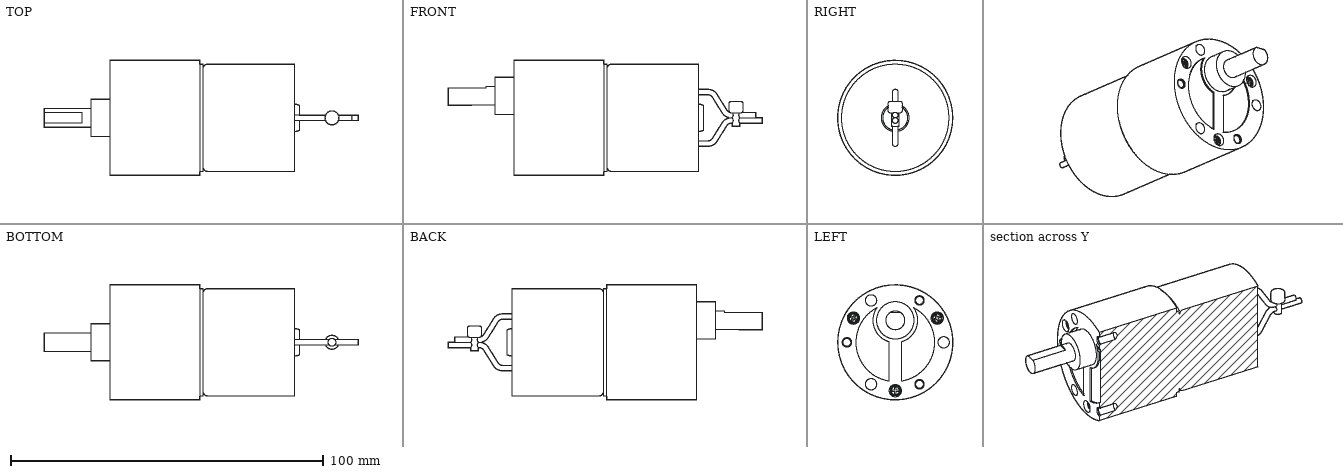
import cadquery as cq
import math


gearbox_diameter = 37.0
gearbox_length = 28.9
shaft_offset = 7.1
boss_diameter = 12.0
boss_length = 6.0
shaft_diameter = 6.0
shaft_length = 15.0
flat_length = 12.1
flat_depth = 0.5

motor_diameter = 34.4
ring_length = 1.0
motor_length = 29.3
motor_front_fillet = 1.4
bearing_diameter = 8.9
bearing_length = 1.6
bearing_end_diameter = 8.0

recess_diameter = 25.2
recess_depth = 0.5
recess_island_diameter = 14.3
recess_rib_width = 3.9

bolt_circle_radius = 15.5
holes_per_kind = 3
tapped_hole_angle = 0.0
screw_hole_angle = 30.0
plain_hole_angle = 60.0
plain_hole_diameter = 3.6
plain_hole_depth = 6.0
tapped_mouth_diameter = 3.0
tapped_mouth_depth = 0.5
tapped_core_diameter = 2.5
tapped_core_depth = 6.0
drill_point_angle = 118.0
screw_hole_diameter = 3.9
screw_hole_depth = 2.2
screw_head_diameter = 3.2
screw_head_rim = 1.0
screw_dome_diameter = 2.6
screw_dome_height = 0.4
cross_slot_width = 0.5
cross_slot_length = 2.2
cross_slot_depth = 0.6

wire_diameter = 1.8
wire_entry_height = 8.3
wire_pair_spacing = 1.7
wire_entry_length = 3.0
wire_bend_radius = 2.5
wire_bend_angle = 58.0
wire_tip_gap = 2.1
overall_length = 100.7
clip_from_tip = 8.5
clip_head_diameter = 4.5
clip_head_bottom = 1.6
clip_head_top = 5.2
clip_head_fillet = 0.6
clip_pin_diameter = 2.5
clip_pin_bottom = -2.7

boss_front = -boss_length
shaft_tip = boss_front - shaft_length
motor_front = gearbox_length + ring_length
motor_rear = motor_front + motor_length
wire_tip = shaft_tip + overall_length


def rod(diameter, start, length, z=0.0):
    """Cylinder along +X."""
    return cq.Workplane("YZ", origin=(start, 0, z)).circle(diameter / 2).extrude(length)


def make_bearing():
    """Rear bearing housing; its side starts along the axis and curves in to a smaller end face."""
    end_x = motor_rear + bearing_length
    drop = (bearing_diameter - bearing_end_diameter) / 2
    arc_radius = (bearing_length**2 + drop**2) / (2 * drop)
    half_angle = math.asin(bearing_length / arc_radius) / 2
    middle_x = motor_rear + arc_radius * math.sin(half_angle)
    middle_radius = bearing_diameter / 2 - arc_radius * (1 - math.cos(half_angle))
    return (
        cq.Workplane("XY")
        .moveTo(motor_rear, 0)
        .lineTo(motor_rear, bearing_diameter / 2)
        .threePointArc((middle_x, middle_radius), (end_x, bearing_end_diameter / 2))
        .lineTo(end_x, 0)
        .close()
        .revolve(360, (0, 0, 0), (1, 0, 0))
    )


def make_body():
    gearbox = rod(gearbox_diameter, 0, gearbox_length)
    ring = rod(motor_diameter, gearbox_length, ring_length)
    motor = rod(motor_diameter, motor_front, motor_length).faces("<X").edges().fillet(motor_front_fillet)
    return gearbox.union(ring).union(motor).union(make_bearing())


def make_output_shaft():
    boss = rod(boss_diameter, boss_front, boss_length, z=shaft_offset)
    shaft = rod(shaft_diameter, shaft_tip, shaft_length, z=shaft_offset)
    flat_cutter = cq.Workplane("XY").box(
        flat_length, shaft_diameter, flat_depth, centered=(False, True, False)
    ).translate((shaft_tip, 0, shaft_offset + shaft_diameter / 2 - flat_depth))
    return boss.union(shaft.cut(flat_cutter))


def make_face_recess():
    """Round recess with a round island about the shaft and a rib running down from it."""
    disc = rod(recess_diameter, 0, recess_depth)
    island = rod(recess_island_diameter, 0, recess_depth, z=shaft_offset)
    rib = cq.Workplane("XY").box(
        recess_depth, recess_rib_width, recess_diameter, centered=(False, True, False)
    ).translate((0, 0, shaft_offset - recess_diameter))
    return disc.cut(island).cut(rib)


def around_bolt_circle(feature, first_angle):
    """Place copies of a feature, made about the X axis, evenly around the bolt circle."""
    pitch = 360 / holes_per_kind
    return [
        feature.translate((0, bolt_circle_radius, 0)).rotate((0, 0, 0), (1, 0, 0), first_angle + i * pitch)
        for i in range(holes_per_kind)
    ]


def make_tapped_hole():
    """Stepped blind hole ending in a drill point."""
    mouth_radius = tapped_mouth_diameter / 2
    core_radius = tapped_core_diameter / 2
    point_length = core_radius / math.tan(math.radians(drill_point_angle / 2))
    return (
        cq.Workplane("XY")
        .moveTo(0, 0)
        .lineTo(0, mouth_radius)
        .lineTo(tapped_mouth_depth, mouth_radius)
        .lineTo(tapped_mouth_depth, core_radius)
        .lineTo(tapped_core_depth, core_radius)
        .lineTo(tapped_core_depth + point_length, 0)
        .close()
        .revolve(360, (0, 0, 0), (1, 0, 0))
    )


def make_screw_head():
    """Round head with a cross-slotted dome, sitting on the floor of its hole."""
    head_radius = screw_head_diameter / 2
    dome_edge_radius = screw_dome_diameter / 2
    rim_front = screw_hole_depth - screw_head_rim
    dome_front = rim_front - screw_dome_height
    dome_sphere_radius = (dome_edge_radius**2 + screw_dome_height**2) / (2 * screw_dome_height)
    half_angle = math.asin(dome_edge_radius / dome_sphere_radius) / 2
    dome_middle = (
        dome_front + dome_sphere_radius * (1 - math.cos(half_angle)),
        dome_sphere_radius * math.sin(half_angle),
    )
    head = (
        cq.Workplane("XY")
        .moveTo(screw_hole_depth, 0)
        .lineTo(screw_hole_depth, head_radius)
        .lineTo(rim_front, head_radius)
        .lineTo(rim_front, dome_edge_radius)
        .threePointArc(dome_middle, (dome_front, 0))
        .close()
        .revolve(360, (0, 0, 0), (1, 0, 0))
    )
    slots = cq.Workplane("YZ", origin=(dome_front, 0, 0))
    slots = slots.rect(cross_slot_length, cross_slot_width).extrude(cross_slot_depth)
    return head.cut(slots).cut(slots.rotate((0, 0, 0), (1, 0, 0), 90))


def make_wire(side, tip):
    """S-bent wire from the motor rear to its tip; side is +1 above the axis, -1 below."""
    angle = math.radians(wire_bend_angle)
    run = wire_bend_radius * math.sin(angle)
    drop = wire_bend_radius * (1 - math.cos(angle))
    half_run = wire_bend_radius * math.sin(angle / 2)
    half_drop = wire_bend_radius * (1 - math.cos(angle / 2))
    exit_height = wire_pair_spacing / 2
    slope_run = (wire_entry_height - exit_height - 2 * drop) / math.tan(angle)

    bend_1 = motor_rear + wire_entry_length
    slope_start = bend_1 + run
    slope_end = slope_start + slope_run
    bend_2 = slope_end + run
    path = (
        cq.Workplane("XZ")
        .moveTo(motor_rear, side * wire_entry_height)
        .lineTo(bend_1, side * wire_entry_height)
        .threePointArc(
            (bend_1 + half_run, side * (wire_entry_height - half_drop)),
            (slope_start, side * (wire_entry_height - drop)),
        )
        .lineTo(slope_end, side * (exit_height + drop))
        .threePointArc(
            (bend_2 - half_run, side * (exit_height + half_drop)),
            (bend_2, side * exit_height),
        )
        .lineTo(tip, side * exit_height)
    )
    section = cq.Workplane("YZ", origin=(motor_rear, 0, side * wire_entry_height)).circle(wire_diameter / 2)
    return section.sweep(path)


def make_clip():
    clip_x = wire_tip - clip_from_tip
    head = (
        cq.Workplane("XY", origin=(clip_x, 0, clip_head_bottom))
        .circle(clip_head_diameter / 2)
        .extrude(clip_head_top - clip_head_bottom)
        .edges()
        .fillet(clip_head_fillet)
    )
    pin = (
        cq.Workplane("XY", origin=(clip_x, 0, clip_pin_bottom))
        .circle(clip_pin_diameter / 2)
        .extrude(clip_head_bottom - clip_pin_bottom)
    )
    return head.union(pin)


result = make_body().union(make_output_shaft()).cut(make_face_recess())

for hole in around_bolt_circle(rod(plain_hole_diameter, 0, plain_hole_depth), plain_hole_angle):
    result = result.cut(hole)
for hole in around_bolt_circle(make_tapped_hole(), tapped_hole_angle):
    result = result.cut(hole)
for hole in around_bolt_circle(rod(screw_hole_diameter, 0, screw_hole_depth), screw_hole_angle):
    result = result.cut(hole)
for head in around_bolt_circle(make_screw_head(), screw_hole_angle):
    result = result.union(head)

result = result.union(make_wire(1, wire_tip - wire_tip_gap))
result = result.union(make_wire(-1, wire_tip))
result = result.union(make_clip())